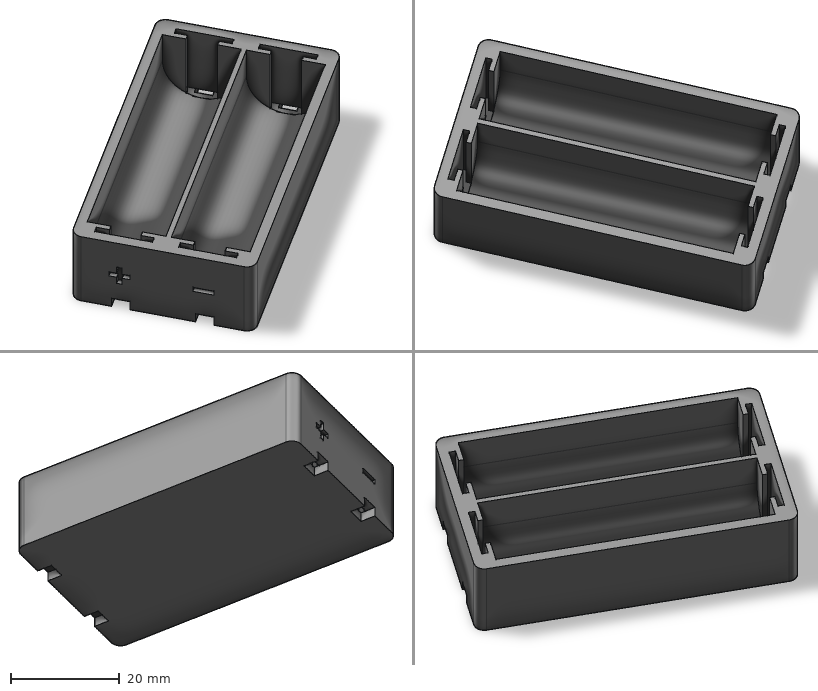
import cadquery as cq

wall = 2.0
floor = 2.0
divider = 1.0
bay_width = 15.0
length = 61.0
height = 16.0
corner_radius = 2.0

width = 2 * bay_width + divider + 2 * wall
bay_offset = (bay_width + divider) / 2
bay_centres = (-bay_offset, bay_offset)

cell_radius = bay_width / 2
cell_axis_height = floor + cell_radius

contact_width = 11.0
contact_opening = 6.0
contact_slot = 1.2
tab_thickness = 1.0
slot_end = length / 2 - wall
tab_outer = slot_end - contact_slot
tab_inner = tab_outer - tab_thickness
bay_length = 2 * tab_inner

notch_width = 3.5
notch_height = floor
notch_reach = 1.0
notch_depth = wall + notch_reach

mark_length = 4.0
mark_stroke = 1.0
mark_depth = 1.0
mark_height = height / 2
mark_shift = -0.25


def block(x_centre, x_size, y_min, y_max, z_min, z_max):
    """Box centred on x_centre in X and bounded by the given Y and Z limits."""
    corner = (x_centre - x_size / 2, y_min, z_min)
    return cq.Workplane("XY").box(x_size, y_max - y_min, z_max - z_min, centered=False).translate(corner)


def make_case():
    """Solid block with rounded upright corners."""
    case = cq.Workplane("XY").box(width, length, height, centered=(True, True, False))
    return case.edges("|Z").fillet(corner_radius)


def make_bay(x_centre):
    """Space for one cell: a half-round floor rising into straight sides, open at the top."""
    left = x_centre - cell_radius
    right = x_centre + cell_radius
    profile = (
        cq.Workplane("XZ", origin=(0, bay_length / 2, 0))
        .moveTo(left, height)
        .lineTo(left, cell_axis_height)
        .threePointArc((x_centre, floor), (right, cell_axis_height))
        .lineTo(right, height)
        .close()
    )
    return profile.extrude(bay_length)


def make_contact_seat(x_centre):
    """Contact slot, the opening between its tabs and the wire notch, at the -Y end."""
    slot = block(x_centre, contact_width, -slot_end, -tab_outer, floor, height)
    opening = block(x_centre, contact_opening, -tab_outer, -tab_inner, floor, height)
    notch = block(x_centre, notch_width, -length / 2, -length / 2 + notch_depth, 0, notch_height)
    return slot.union(opening).union(notch)


def make_mark(x_centre, is_plus):
    """Plus or minus sign, as the solid to sink into the -Y end wall."""
    plane = cq.Workplane("XZ", origin=(x_centre, -length / 2, mark_height))
    mark = plane.rect(mark_length, mark_stroke).extrude(-mark_depth)
    if is_plus:
        mark = mark.union(plane.rect(mark_stroke, mark_length).extrude(-mark_depth)).clean()
    return mark


result = make_case()
for bay_x in bay_centres:
    seat = make_contact_seat(bay_x)
    result = result.cut(make_bay(bay_x)).cut(seat).cut(seat.mirror("XZ"))
    result = result.cut(make_mark(bay_x + mark_shift, is_plus=bay_x < 0))